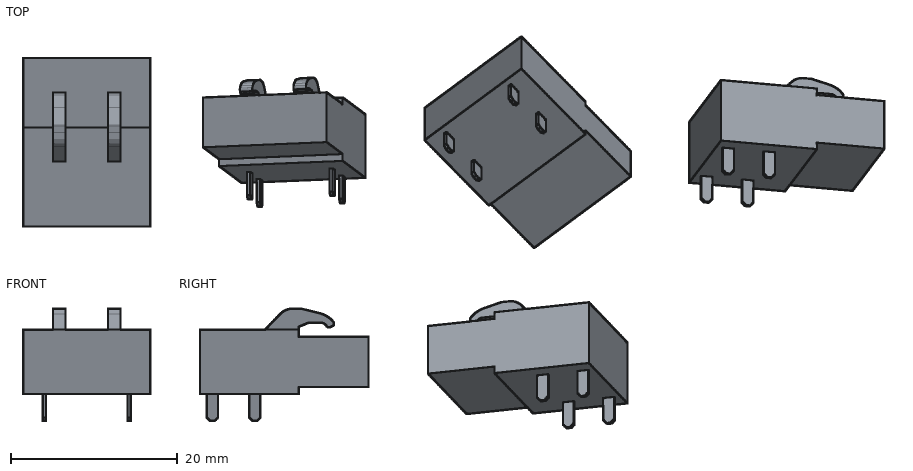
import cadquery as cq


HOUSING_WIDTH = 15.25
HOUSING_LENGTH = 20.25
FRONT_LENGTH = 11.89
FRONT_HEIGHT = 7.74
STEP_DEPTH = 0.83
REAR_LENGTH = HOUSING_LENGTH - FRONT_LENGTH
REAR_HEIGHT = FRONT_HEIGHT - 2 * STEP_DEPTH

HOOK_WIDTH = 1.54
HOOK_PITCH = 6.6
HOOK_HEIGHT = 2.53
HOOK_FOOT_Y = 7.82
ARM_UNDERSIDE = 0.8

PIN_THICKNESS = 0.4
PIN_WIDTH = 1.35
PIN_LENGTH = 3.22
PIN_TIP_CHAMFER = 0.4
PIN_ROW_PITCH = 5.08
PIN_COLUMN_PITCH = 2 * PIN_ROW_PITCH
PIN_FRONT_GAP = 0.83


def make_block(length, height, y_start, z_start):
    """Full-width block whose front lower edge lies at (y_start, z_start)."""
    return (
        cq.Workplane("XY")
        .box(HOUSING_WIDTH, length, height, centered=(True, False, False))
        .translate((0, y_start, z_start))
    )


def make_hook(x_centre):
    """Latch hook; its outline is drawn in (Y, height above the front block)."""
    return (
        cq.Workplane("YZ")
        .moveTo(FRONT_LENGTH, 0)
        .lineTo(HOOK_FOOT_Y, 0)
        .lineTo(9.64, 1.88)
        .tangentArcPoint((11.3, HOOK_HEIGHT), relative=False)
        .lineTo(12.07, HOOK_HEIGHT)
        .tangentArcPoint((12.21, 2.51), relative=False)
        .lineTo(14.3, 2.0)
        .tangentArcPoint((15.77, 1.22), relative=False)
        .lineTo(16.05, 0.9)
        .threePointArc((16.1, 0.69), (16.0, 0.47))
        .lineTo(15.7, 0.3)
        .tangentArcPoint((15.19, 0.43), relative=False)
        .threePointArc((14.92, 0.69), (14.58, ARM_UNDERSIDE))
        .lineTo(13.05, ARM_UNDERSIDE)
        .lineTo(FRONT_LENGTH, 0.35)
        .close()
        .extrude(HOOK_WIDTH / 2, both=True)
        .translate((x_centre, 0, FRONT_HEIGHT))
    )


def make_housing():
    """Stepped housing with its two latch hooks, as one solid."""
    front_block = make_block(FRONT_LENGTH, FRONT_HEIGHT, 0, 0)
    rear_block = make_block(REAR_LENGTH, REAR_HEIGHT, FRONT_LENGTH, STEP_DEPTH)
    body = front_block.union(rear_block)
    for side in (-1, 1):
        body = body.union(make_hook(side * HOOK_PITCH / 2))
    return body


def make_pin(x_centre, y_centre):
    """Flat pin hanging from the housing underside, its tip chamfered on the two narrow sides."""
    return (
        cq.Workplane("XY")
        .box(PIN_THICKNESS, PIN_WIDTH, PIN_LENGTH)
        .faces("<Z")
        .edges("|X")
        .chamfer(PIN_TIP_CHAMFER)
        .translate((x_centre, y_centre, -PIN_LENGTH / 2))
    )


housing = make_housing()

pins = []
for side in (-1, 1):
    for row in (0, 1):
        pin_x = side * PIN_COLUMN_PITCH / 2
        pin_y = PIN_FRONT_GAP + PIN_WIDTH / 2 + row * PIN_ROW_PITCH
        pins.append(make_pin(pin_x, pin_y))

result = cq.Compound.makeCompound([housing.val(), *[pin.val() for pin in pins]])